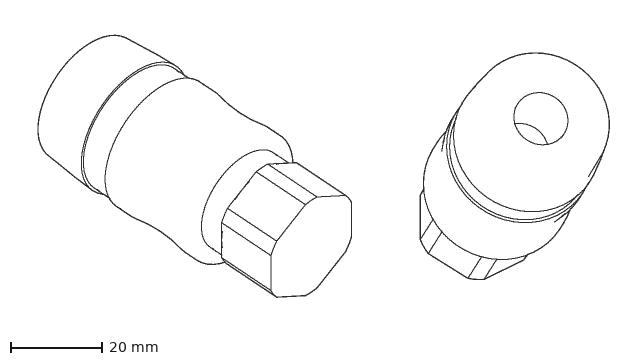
import cadquery as cq
import math

length = 70.0
nose_end = 15.0
groove_end = 22.4
waist_start = 27.0
waist_end = 43.7
sleeve_end = 48.4
hex_start = 54.7

sleeve_radius = 33.0 / 2
nose_radius = 15.55
groove_radius = 15.8
waist_radius = 15.7
nose_rounding = 0.9
sleeve_rounding = 1.0
nose_bulge = 0.15

hex_across_flats = 25.0
hex_corner_diameter = 27.0
neck_radius = hex_across_flats / 2
bore_diameter = 12.1
bore_depth = 21.0


def rounding_middle(center_x, center_radius, rounding, direction):
    """Middle point of a quarter-round outer edge in the turned profile."""
    offset = rounding * math.sqrt(0.5)
    return (center_x + direction * offset, center_radius + offset)


def turned_body():
    """Revolve the nose, groove, waisted grip and neck about X."""
    nose_face_radius = nose_radius - nose_rounding
    nose_middle = (
        (nose_rounding + nose_end) / 2,
        (nose_radius + sleeve_radius) / 2 + nose_bulge,
    )
    rear_round_start = sleeve_end - sleeve_rounding
    rear_face_radius = sleeve_radius - sleeve_rounding
    profile = (
        cq.Workplane("XY")
        .moveTo(0, 0)
        .lineTo(0, nose_face_radius)
        .threePointArc(
            rounding_middle(nose_rounding, nose_face_radius, nose_rounding, -1),
            (nose_rounding, nose_radius),
        )
        .threePointArc(nose_middle, (nose_end, sleeve_radius))
        .lineTo(nose_end, groove_radius)
        .lineTo(groove_end, groove_radius)
        .lineTo(groove_end, sleeve_radius)
        .lineTo(waist_start, sleeve_radius)
        .threePointArc(
            ((waist_start + waist_end) / 2, waist_radius),
            (waist_end, sleeve_radius),
        )
        .lineTo(rear_round_start, sleeve_radius)
        .threePointArc(
            rounding_middle(rear_round_start, rear_face_radius, sleeve_rounding, 1),
            (sleeve_end, rear_face_radius),
        )
        .lineTo(sleeve_end, neck_radius)
        .lineTo(hex_start, neck_radius)
        .lineTo(hex_start, 0)
        .close()
    )
    return profile.revolve(360, (0, 0, 0), (1, 0, 0))


def hexagon_end():
    """Hexagon with flats facing +Y and -Y, its corners turned to a cylinder."""
    hex_length = length - hex_start
    plane = cq.Workplane("YZ", origin=(hex_start, 0, 0))
    across_corners = hex_across_flats / math.cos(math.pi / 6)
    prism = plane.transformed(rotate=(0, 0, 90)).polygon(6, across_corners).extrude(hex_length)
    corner_cylinder = plane.circle(hex_corner_diameter / 2).extrude(hex_length)
    return prism.intersect(corner_cylinder)


def socket_bore():
    """Blind round socket opening on the nose face."""
    return cq.Workplane("YZ").circle(bore_diameter / 2).extrude(bore_depth)


result = turned_body().union(hexagon_end()).cut(socket_bore())